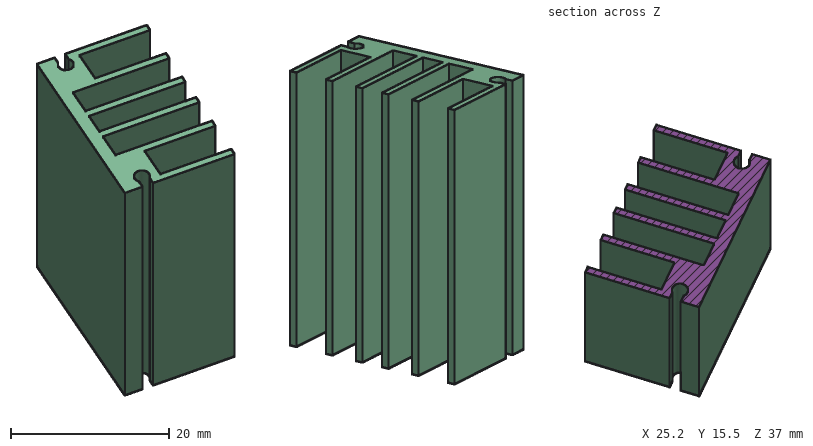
import cadquery as cq

width = 25.25
depth = 15.5
length = 37.0

base_thickness = 1.9
shoulder_height = 5.5
fin_thickness = 1.0
center_gap = 3.0
outer_gap = 4.5

groove_y = 3.25
groove_bore_diameter = 2.0
groove_bore_inset = 1.7
groove_mouth = 1.48

half_width = width / 2
inner_fin_start = center_gap / 2
inner_fin_end = inner_fin_start + fin_thickness
outer_gap_end = half_width - fin_thickness
outer_gap_start = outer_gap_end - outer_gap
middle_fin_start = outer_gap_start - fin_thickness


def box_between(x_start, x_end, y_start, y_end):
    """Full-length block spanning the given X and Y ranges."""
    block = cq.Workplane("XY").box(x_end - x_start, y_end - y_start, length, centered=False)
    return block.translate((x_start, y_start, 0))


def fin_gap(x_start, x_end, floor):
    """Gap between two fins, open at the fin tips."""
    return box_between(x_start, x_end, floor, depth)


def keyhole_groove():
    """Round bore opening to the +X side through a narrower mouth."""
    bore_x = half_width - groove_bore_inset
    bore = cq.Workplane("XY").center(bore_x, groove_y).circle(groove_bore_diameter / 2).extrude(length)
    mouth = box_between(bore_x, half_width, groove_y - groove_mouth / 2, groove_y + groove_mouth / 2)
    return bore.union(mouth)


result = box_between(-half_width, half_width, 0, depth)

result = result.cut(fin_gap(-inner_fin_start, inner_fin_start, base_thickness))

side_cutters = [
    fin_gap(inner_fin_end, middle_fin_start, base_thickness),
    fin_gap(outer_gap_start, outer_gap_end, shoulder_height),
    keyhole_groove(),
]
for cutter in side_cutters:
    result = result.cut(cutter).cut(cutter.mirror("YZ"))